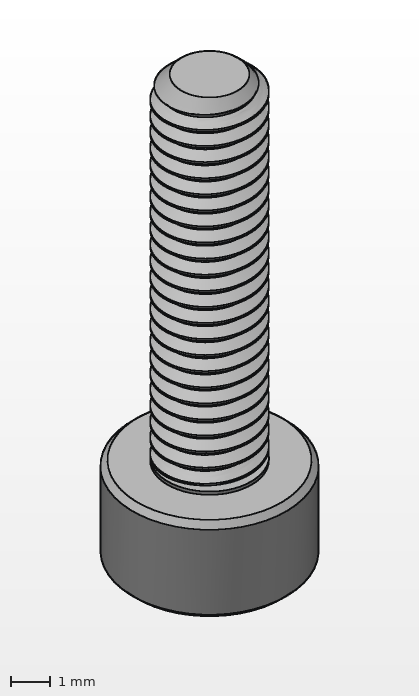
import cadquery as cq
import math

total_length = 15.0
head_height = 3.0
head_diameter = 5.5
head_chamfer = 0.18

thread_diameter = 3.0
thread_pitch = thread_diameter / 6
thread_depth = 0.3
flank_angle = math.radians(30)
crest_width = thread_pitch / 8
tip_diameter = 2.01
collar_height = 0.1

groove_phase_height = 3.1

thread_radius = thread_diameter / 2
groove_overshoot = 0.02
rod_excess = 3 * thread_pitch


def make_head():
    """Cylindrical head, chamfered on both rims, with its underside at Z = 0."""
    head = cq.Workplane("XY").circle(head_diameter / 2).extrude(head_height)
    return head.edges().chamfer(head_chamfer)


def make_collar():
    """Short unthreaded ring between the head and the thread."""
    collar = cq.Workplane("XY", origin=(0, 0, head_height))
    return collar.circle(thread_radius).extrude(collar_height)


def make_thread_groove():
    """Right-hand helical groove that leaves 60 degree threads with flat crests."""
    start_height = groove_phase_height - thread_pitch
    turns = math.ceil((total_length - start_height) / thread_pitch)

    root_radius = thread_radius - thread_depth
    outer_radius = thread_radius + groove_overshoot
    crest_half_gap = (thread_pitch - crest_width) / 2
    root_half_gap = crest_half_gap - thread_depth * math.tan(flank_angle)
    outer_half_gap = crest_half_gap + groove_overshoot * math.tan(flank_angle)

    helix = cq.Wire.makeHelix(
        thread_pitch, turns * thread_pitch, thread_radius, cq.Vector(0, 0, start_height)
    )
    profile = cq.Workplane("XZ").polyline(
        [
            (root_radius, start_height - root_half_gap),
            (outer_radius, start_height - outer_half_gap),
            (outer_radius, start_height + outer_half_gap),
            (root_radius, start_height + root_half_gap),
        ]
    )
    return profile.close().sweep(cq.Workplane(helix), isFrenet=True)


def make_threaded_shank():
    """Threaded rod between the collar and the 45 degree chamfered tip."""
    rod = cq.Workplane("XY").circle(thread_radius).extrude(total_length + rod_excess)
    rod = rod.cut(make_thread_groove())

    thread_start = head_height + collar_height
    limits = cq.Workplane("XY", origin=(0, 0, thread_start))
    limits = limits.circle(thread_diameter).extrude(total_length - thread_start)
    limits = limits.faces(">Z").chamfer(thread_diameter - tip_diameter / 2)
    return rod.intersect(limits)


result = make_head().union(make_collar()).union(make_threaded_shank())